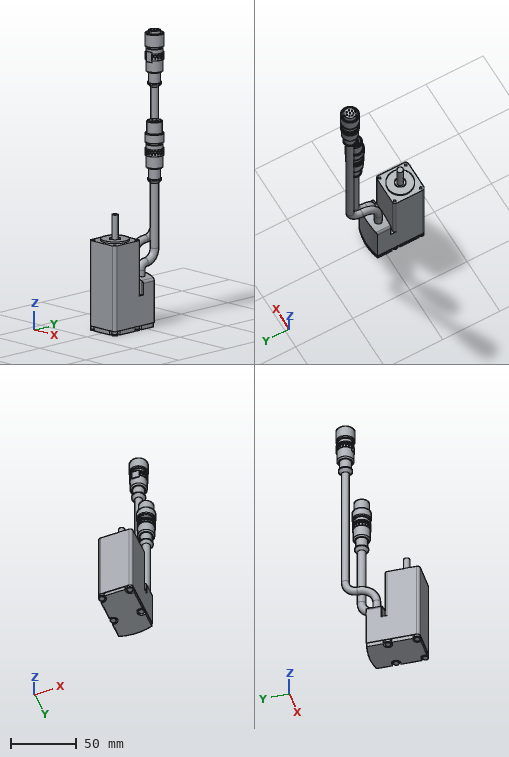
import cadquery as cq
import math

body_width = 28.0
body_half = body_width / 2
body_back = 13.5
body_top = 70.5
corner_radius = 2.5
rear_corner_radius = 2.0
screw_offset = 23.0 / 2
boss_diameter = 22.0
boss_height = 1.4
shaft_recess_diameter = 8.5
shaft_diameter = 5.0
shaft_top = 90.6
mount_hole_diameter = 2.01
mount_hole_depth = 4.5

housing_front = 15.8
housing_back = 30.0
housing_top = 40.5
wall_bulge = 2.0
top_bulge = 2.7
top_edge_radius = 2.3
front_edge_chamfer = 0.7
slot_floor = 27.1

cover_height = 3.5
cover_inset = 0.5
pocket_diameter = 6.8
screw_neck_diameter = 4.5
screw_head_diameter = 5.0
screw_head_height = 1.5
screw_head_chamfer = 0.5

overall_depth = 68.3
overall_height = 226.0
cable_spacing = 10.2
cable_exit_y = 22.1
bend_radius = 10.0
tall_cable_diameter = 6.0
short_cable_diameter = 6.8
tall_cable_bend_start = 49.3
short_cable_bend_start = 59.2
cable_root_depth = 4.5
cable_root = housing_top - cable_root_depth

collar_diameter = 14.7
collar_chamfer = 0.7
neck_diameter = 10.6
neck_height = 1.4
grip_diameter = 13.0
grip_length = 18.8
grip_chamfer = 1.1
band_diameter = 14.2
band_start = 3.2
band_rim_height = 1.4
knurl_tiers = 3
knurl_tier_height = 1.4
knurl_grooves = 18
knurl_groove_width = 0.7
knurl_groove_depth = 0.5
sleeve_diameter = 9.3
sleeve_length = 8.1
flange_diameter = 10.8
flange_thickness = 1.0
cone_length = 2.5
insert_diameter = 9.3
insert_height = 1.8
nut_height = 10.8
nut_bore_diameter = 12.0
nut_bore_depth = 6.8
keyway_width = 1.4
flat_width = 6.0
flat_length = 8.1
flat_start = 2.0
tip_diameter = 12.0
tip_length = 9.5
tip_chamfer = 0.7
ring_height = 7.7
socket_diameter = insert_diameter
socket_depth = 8.0
pin_length = 7.2
contact_count = 7
contact_circle_radius = 2.7
contact_bore_diameter = 1.0
pin_diameter = 0.8

tall_connector = (-cable_spacing / 2, overall_depth - body_half - collar_diameter / 2)
short_connector = (cable_spacing / 2, tall_connector[1] - bend_radius)
short_connector_top = 158.9


def cylinder(x, y, bottom, top, diameter):
    return cq.Workplane("XY", origin=(x, y, bottom)).circle(diameter / 2).extrude(top - bottom)


def screw_positions():
    return [(x, y) for x in (-screw_offset, screw_offset) for y in (-screw_offset, screw_offset)]


def footprint(bottom, top, inset=0):
    """Prism from the motor front to the bowed back wall, with rounded front corners."""
    side = body_half - inset
    back = housing_back - inset
    return (
        cq.Workplane("XY", origin=(0, 0, bottom))
        .moveTo(-side, back - wall_bulge)
        .lineTo(-side, -side)
        .lineTo(side, -side)
        .lineTo(side, back - wall_bulge)
        .threePointArc((0, back), (-side, back - wall_bulge))
        .close()
        .extrude(top - bottom)
        .edges("|Z and <Y")
        .fillet(corner_radius)
    )


def motor():
    body = (
        cq.Workplane("XY", origin=(0, 0, cover_height))
        .center(0, (body_back - body_half) / 2)
        .rect(body_width, body_back + body_half)
        .extrude(body_top - cover_height)
        .edges("|Z and <Y")
        .fillet(corner_radius)
        .edges("|Z and >Y")
        .fillet(rear_corner_radius)
    )
    body = body.union(cylinder(0, 0, body_top, body_top + boss_height, boss_diameter))
    body = body.cut(cylinder(0, 0, body_top, body_top + boss_height, shaft_recess_diameter))
    body = body.union(cylinder(0, 0, body_top - boss_height, shaft_top, shaft_diameter))
    for x, y in screw_positions():
        body = body.cut(cylinder(x, y, body_top - mount_hole_depth, body_top, mount_hole_diameter))
    return body


def housing():
    """Bowed block behind the motor, with an arched top and a foot joined to the motor."""
    shoulder = housing_top - top_bulge
    arch = (
        cq.Workplane("XZ")
        .moveTo(-body_half, cover_height)
        .lineTo(body_half, cover_height)
        .lineTo(body_half, shoulder)
        .threePointArc((0, housing_top), (-body_half, shoulder))
        .close()
        .extrude(-housing_back)
    )
    arch = arch.edges("|Y").edges(">Z").fillet(top_edge_radius)
    block = (
        cq.Workplane("XY")
        .rect(body_width, body_width)
        .extrude(housing_top)
        .edges("|Z")
        .chamfer(front_edge_chamfer)
        .translate((0, housing_front + body_half, 0))
    )
    block = block.intersect(arch).intersect(footprint(0, housing_top))
    return block.union(footprint(cover_height, slot_floor))


def cover():
    """Base plate, open around each screw towards the sides and the front."""
    plate = footprint(0, cover_height, cover_inset)
    for x, y in screw_positions():
        outward_x = math.copysign(pocket_diameter / 2, x)
        opening_centers = [(x + outward_x, y)]
        if y < 0:
            opening_centers.append((x, y - pocket_diameter / 2))
            opening_centers.append((x + outward_x, y - pocket_diameter / 2))
        openings = (
            cq.Workplane("XY")
            .pushPoints(opening_centers)
            .rect(pocket_diameter, pocket_diameter)
            .extrude(cover_height)
        )
        plate = plate.cut(cylinder(x, y, 0, cover_height, pocket_diameter)).cut(openings)
    for x, y in screw_positions():
        head = cylinder(x, y, 0, screw_head_height, screw_head_diameter).edges().chamfer(screw_head_chamfer)
        plate = plate.union(head).union(cylinder(x, y, 0, cover_height, screw_neck_diameter))
    return plate


def swept_cable(path, diameter):
    return cq.Workplane("XY", origin=path.val().startPoint().toTuple()).circle(diameter / 2).sweep(path)


def bend_middle(center_y, center_z, radius, side_y, side_z):
    """Midpoint of a quarter bend, on the given side of its center in Y and Z."""
    reach = radius * math.sqrt(0.5)
    return (center_y + side_y * reach, center_z + side_z * reach)


def tall_cable(top):
    x, y = tall_connector
    mid_y = y - bend_radius
    lower_radius = mid_y - cable_exit_y
    mid_z = tall_cable_bend_start + lower_radius
    straight_start = mid_z + bend_radius
    path = (
        cq.Workplane("YZ", origin=(x, 0, 0))
        .moveTo(cable_exit_y, cable_root)
        .lineTo(cable_exit_y, tall_cable_bend_start)
        .threePointArc(bend_middle(mid_y, tall_cable_bend_start, lower_radius, -1, 1), (mid_y, mid_z))
        .threePointArc(bend_middle(mid_y, straight_start, bend_radius, 1, -1), (y, straight_start))
        .lineTo(y, top)
    )
    return swept_cable(path, tall_cable_diameter)


def short_cable(top):
    x, y = short_connector
    mid_y = y - bend_radius
    mid_z = short_cable_bend_start - bend_radius
    elbow_radius = mid_y - cable_exit_y
    elbow_z = mid_z - elbow_radius
    straight_start = short_cable_bend_start
    path = (
        cq.Workplane("YZ", origin=(x, 0, 0))
        .moveTo(cable_exit_y, cable_root)
        .lineTo(cable_exit_y, elbow_z)
        .threePointArc(bend_middle(mid_y, elbow_z, elbow_radius, -1, 1), (mid_y, mid_z))
        .threePointArc(bend_middle(mid_y, straight_start, bend_radius, 1, -1), (y, straight_start))
        .lineTo(y, top)
    )
    return swept_cable(path, short_cable_diameter)


def knurled_band(x, y, top):
    """Raised band with staggered tiers of shallow grooves above a plain rim."""
    knurl_bottom = top - knurl_tiers * knurl_tier_height
    band = cylinder(x, y, knurl_bottom - band_rim_height, top, band_diameter)
    half_pitch_angle = 180 / knurl_grooves
    for tier in range(knurl_tiers):
        grooves = (
            cq.Workplane("XY", origin=(x, y, knurl_bottom + tier * knurl_tier_height))
            .polarArray(band_diameter / 2, tier * half_pitch_angle, 360, knurl_grooves)
            .rect(2 * knurl_groove_depth, knurl_groove_width)
            .extrude(knurl_tier_height)
        )
        band = band.cut(grooves)
    return band


def grip(x, y, top, cable_diameter):
    """Knurled grip with its sleeve, flange and cone running down onto the cable."""
    bottom = top - grip_length
    flange_top = bottom - sleeve_length
    cone_top = flange_top - flange_thickness
    handle = cylinder(x, y, bottom, top, grip_diameter).faces("<Z").chamfer(grip_chamfer)
    handle = handle.union(cylinder(x, y, top, top + neck_height, neck_diameter))
    handle = handle.union(knurled_band(x, y, top - band_start))
    handle = handle.union(cylinder(x, y, flange_top, bottom, sleeve_diameter))
    handle = handle.union(cylinder(x, y, cone_top, flange_top, flange_diameter))
    cone = (
        cq.Workplane("XY", origin=(x, y, cone_top))
        .circle(flange_diameter / 2)
        .workplane(offset=-cone_length)
        .circle(cable_diameter / 2)
        .loft()
    )
    return handle.union(cone)


def contacts(x, y, bottom, top, diameter, first_angle):
    """One central cylinder inside a ring of equal cylinders."""
    ring = (
        cq.Workplane("XY", origin=(x, y, bottom))
        .polarArray(contact_circle_radius, first_angle, 360, contact_count)
        .circle(diameter / 2)
        .extrude(top - bottom)
    )
    return ring.union(cylinder(x, y, bottom, top, diameter))


def female_connector():
    x, y = tall_connector
    nut_top = overall_height - insert_height
    nut_bottom = nut_top - nut_height
    bore_floor = nut_top - nut_bore_depth
    grip_top = nut_bottom - neck_height
    nut = cylinder(x, y, nut_bottom, nut_top, collar_diameter).edges().chamfer(collar_chamfer)
    nut = nut.cut(cylinder(x, y, bore_floor, nut_top, nut_bore_diameter))
    insert = cylinder(x, y, nut_bottom, overall_height, insert_diameter)
    insert = insert.cut(cylinder(x, y - insert_diameter / 2, bore_floor, overall_height, keyway_width))
    insert = insert.cut(contacts(x, y, bore_floor, overall_height, contact_bore_diameter, 90))
    flat_distance = math.sqrt((grip_diameter / 2) ** 2 - (flat_width / 2) ** 2)
    flat = (
        cq.Workplane("XY")
        .box(flat_width, grip_diameter, flat_length, centered=(True, False, False))
        .translate((x, y - flat_distance - grip_diameter, grip_top - flat_start - flat_length))
    )
    handle = grip(x, y, grip_top, tall_cable_diameter).cut(flat)
    return handle.union(nut).union(insert).union(tall_cable(grip_top - grip_length))


def male_connector():
    x, y = short_connector
    ring_top = short_connector_top - tip_length
    ring_bottom = ring_top - ring_height
    grip_top = ring_bottom - neck_height
    socket_floor = short_connector_top - socket_depth
    tip = cylinder(x, y, ring_bottom, short_connector_top, tip_diameter).faces(">Z").chamfer(tip_chamfer)
    ring = cylinder(x, y, ring_bottom, ring_top, collar_diameter).edges().chamfer(collar_chamfer)
    head = tip.union(ring).cut(cylinder(x, y, socket_floor, short_connector_top, socket_diameter))
    head = head.union(contacts(x, y, socket_floor, socket_floor + pin_length, pin_diameter, -90))
    handle = grip(x, y, grip_top, short_cable_diameter)
    return handle.union(head).union(short_cable(grip_top - grip_length))


result = motor().union(housing()).union(cover())
result = result.union(female_connector()).union(male_connector())